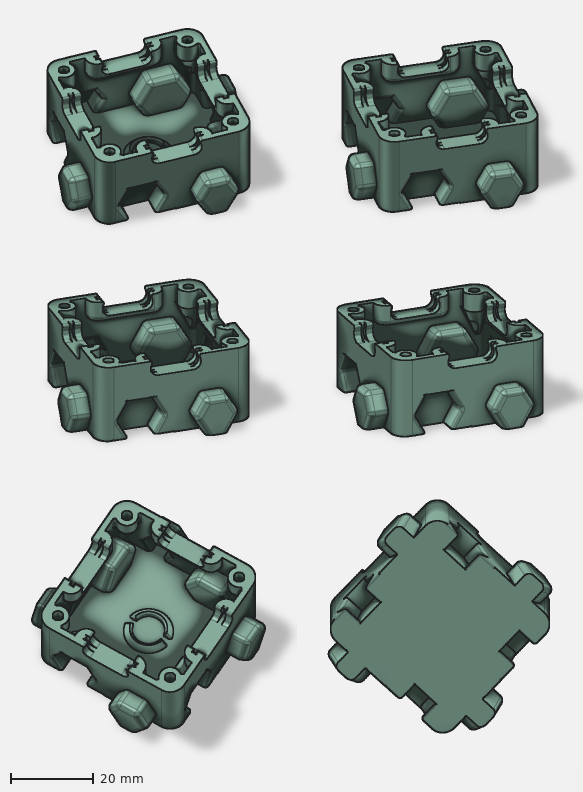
import cadquery as cq
import math

BOX = 40.0
HEIGHT = 20.0
OUTER_RADIUS = 4.0
WALL = 1.65
FLOOR = 1.2
HALF = BOX / 2
INNER_HALF = HALF - WALL
INNER_RADIUS = OUTER_RADIUS - WALL

CONNECTOR_OFFSET = 9.0
HEX_APOTHEM = 5.0
HEX_CENTRE_Z = HEX_APOTHEM
PLUG_LENGTH = 5.0
PLUG_ROUNDING = 1.5
PLUG_CAVITY_APOTHEM = HEX_APOTHEM - WALL
PLUG_CAVITY_LIP = 1.2
SOCKET_CLEARANCE = 0.3
SOCKET_APOTHEM = HEX_APOTHEM + SOCKET_CLEARANCE
SOCKET_DEPTH = PLUG_LENGTH + SOCKET_CLEARANCE
SOCKET_CORNER_RADIUS = 1.0
SOCKET_LIP = 0.8
SOCKET_BASE_LIP = 0.3
HOUSING_APOTHEM = 6.5
HOUSING_DEPTH = SOCKET_DEPTH + WALL
HOUSING_ROUNDING = 1.5

NOTCH_DEPTH = 4.0
NOTCH_TOP_HALF = 6.0
NOTCH_LEAN = 15.0
NOTCH_TOP_ROUNDING = 0.5
NOTCH_BOTTOM_RADIUS = 2.0
GROOVE_WIDTH = 1.2
GROOVE_OFFSET = 1.0
GROOVE_TOP_ROUNDING = 0.35
GROOVE_BOTTOM_RADIUS = 1.2
PAD_HALF = 9.75
PAD_THICKNESS = 5.0
PAD_HEIGHT = 5.5
PAD_CORNER_RADIUS = 3.0
PAD_BOTTOM_ROUNDING = 1.4

POST_CENTRE = 16.0
POST_RADIUS = 2.75
POST_WALL_FILLET = 0.5
POST_BOTTOM_Z = 15.4
POST_TIP_Z = 8.0
POST_ROOT = 0.25
POST_TIP_SCALE = 0.2
SCREW_TOP_DIAMETER = 2.6
SCREW_BOTTOM_DIAMETER = 1.8

RING_BASE_RADIUS = 6.05
RING_TOP_RADIUS = 4.6
RING_BORE_RADIUS = 4.0
RING_HEIGHT = 1.5
RING_GAP = 1.5
RING_ROUNDING = 0.5
RING_SINK = 1.0

OVERLAP = 1.0
MARGIN = 0.01
SOCKET_SLAB_HALF = 8.5
PLUG_CAVITY_SLAB = 0.4


def on_all_sides(shape):
    """Copies of a -Y side feature turned onto the four sides."""
    return [shape.rotate((0, 0, 0), (0, 0, 1), 90 * turn) for turn in range(4)]


def fuse_all(body, shapes):
    for shape in shapes:
        body = body.union(shape)
    return body


def cut_all(body, shapes):
    for shape in shapes:
        body = body.cut(shape)
    return body


def block(x, half_width, y_start, y_end, z_bottom, z_top):
    """Block centred on x, between the given Y and Z limits."""
    size = (2 * half_width, y_end - y_start, z_top - z_bottom)
    return cq.Workplane("XY").box(*size, centered=(True, False, False)).translate((x, y_start, z_bottom))


def rounded_block(half, radius, bottom, top):
    return block(0, half, -half, half, bottom, top).edges("|Z").fillet(radius)


def hex_prism(x, apothem, y_start, y_end):
    """Hexagonal prism along Y, its lower flanks carried on below the base of the box."""
    radius = 2 * apothem / math.sqrt(3)
    drop = HEX_CENTRE_Z + OVERLAP
    low = radius - drop / math.sqrt(3)
    outline = [
        (x - radius / 2, HEX_CENTRE_Z + apothem),
        (x + radius / 2, HEX_CENTRE_Z + apothem),
        (x + radius, HEX_CENTRE_Z),
        (x + low, HEX_CENTRE_Z - drop),
        (x - low, HEX_CENTRE_Z - drop),
        (x - radius, HEX_CENTRE_Z),
    ]
    plane = cq.Workplane("XZ", origin=(0, y_start, 0))
    return plane.polyline(outline).close().extrude(y_start - y_end)


def above(shape, z):
    return shape.intersect(block(0, BOX, -BOX, BOX, z, HEIGHT))


def round_prism(prism, end, radius):
    """Round the long corners and one end of a hexagonal prism, but not its bottom."""
    return prism.edges("|Y or " + end).edges("not(<Z)").fillet(radius)


def plug():
    prism = hex_prism(CONNECTOR_OFFSET, HEX_APOTHEM, -HALF + WALL / 2, -HALF - PLUG_LENGTH)
    return above(round_prism(prism, "<Y", PLUG_ROUNDING), 0)


def housing():
    """Solid around a socket, standing on the floor inside the wall."""
    prism = hex_prism(-CONNECTOR_OFFSET, HOUSING_APOTHEM, -HALF + HOUSING_DEPTH, -HALF + WALL / 2)
    return above(round_prism(prism, ">Y", HOUSING_ROUNDING), 0)


def round_edges_in_box(shape, radius, low, high):
    """Fillet the edges whose centre lies in a box."""
    return shape.edges(cq.selectors.BoxSelector(low, high)).fillet(radius)


def socket():
    """Void of a socket: open at the base, its flanks rounded over at the wall and at the base.

    Slabs of void in front of the wall and below the base give the edges that are rounded.
    """
    x = -CONNECTOR_OFFSET
    roof = HEX_CENTRE_Z + SOCKET_APOTHEM
    end = -HALF + SOCKET_DEPTH
    prism = hex_prism(x, SOCKET_APOTHEM, end, -HALF - OVERLAP)
    prism = prism.edges("|Y").edges("not(<Z)").edges("not(>Z)").fillet(SOCKET_CORNER_RADIUS)
    in_front = block(x, SOCKET_SLAB_HALF, -HALF - OVERLAP, -HALF, -OVERLAP, roof)
    below = block(x, SOCKET_SLAB_HALF, -HALF - OVERLAP, end, -OVERLAP, 0)
    void = prism.union(in_front).union(below)
    low_x = x - SOCKET_SLAB_HALF + MARGIN
    high_x = x + SOCKET_SLAB_HALF - MARGIN
    void = round_edges_in_box(void, SOCKET_LIP,
                              (low_x, -HALF - MARGIN, MARGIN), (high_x, -HALF + MARGIN, roof - MARGIN))
    return round_edges_in_box(void, SOCKET_BASE_LIP,
                              (low_x, -HALF + SOCKET_LIP, -MARGIN), (high_x, end - MARGIN, MARGIN))


def plug_cavity():
    """Void inside a plug: open to the box at floor level, its mouth rounded over."""
    x = CONNECTOR_OFFSET
    mouth = -INNER_HALF
    slab_half = PLUG_CAVITY_APOTHEM + 2 * PLUG_CAVITY_LIP
    slab_top = HEX_CENTRE_Z + slab_half
    slab_end = mouth + PLUG_CAVITY_SLAB
    prism = above(hex_prism(x, PLUG_CAVITY_APOTHEM, slab_end, -HALF - PLUG_LENGTH + WALL), FLOOR)
    void = prism.union(block(x, slab_half, mouth, slab_end, FLOOR, slab_top))
    return round_edges_in_box(void, PLUG_CAVITY_LIP,
                              (x - slab_half + MARGIN, mouth - MARGIN, FLOOR + MARGIN),
                              (x + slab_half - MARGIN, mouth + MARGIN, slab_top - MARGIN))


def point_on_circle(centre, radius, angle):
    return (centre[0] + radius * math.cos(angle), centre[1] + radius * math.sin(angle))


def notch(top_half, top_rounding, bottom_radius, y_start, y_end):
    """Void of a dovetail notch along Y, with rounded rims and rounded bottom corners."""
    lean = math.radians(NOTCH_LEAN)
    bottom_half = top_half + NOTCH_DEPTH * math.tan(lean)
    bottom_z = HEIGHT - NOTCH_DEPTH
    length = y_start - y_end
    profile = [
        (-top_half, HEIGHT),
        (-bottom_half, bottom_z),
        (bottom_half, bottom_z),
        (top_half, HEIGHT),
    ]
    plane = cq.Workplane("XZ", origin=(0, y_start, 0))
    void = plane.polyline(profile).close().extrude(length)
    void = void.edges("|Y").edges("<Z").fillet(bottom_radius)
    setback = top_rounding / math.tan((math.pi / 2 - lean) / 2)
    centre = (top_half + setback, HEIGHT - top_rounding)
    on_flank = point_on_circle(centre, top_rounding, math.pi + lean)
    middle = point_on_circle(centre, top_rounding, 0.75 * math.pi + lean / 2)
    rim = (
        plane.moveTo(centre[0], HEIGHT)
        .threePointArc(middle, on_flank)
        .lineTo(top_half, HEIGHT)
        .close()
        .extrude(length)
    )
    return void.union(rim).union(rim.mirror("YZ"))


def cable_notch():
    """Void of a cable notch, with a wider groove halfway through its thickness."""
    opening = notch(NOTCH_TOP_HALF, NOTCH_TOP_ROUNDING, NOTCH_BOTTOM_RADIUS,
                    -HALF + PAD_THICKNESS + OVERLAP, -HALF - OVERLAP)
    groove_y = -HALF + PAD_THICKNESS / 2
    groove = notch(NOTCH_TOP_HALF + GROOVE_OFFSET, GROOVE_TOP_ROUNDING, GROOVE_BOTTOM_RADIUS,
                   groove_y + GROOVE_WIDTH / 2, groove_y - GROOVE_WIDTH / 2)
    return opening.union(groove)


def pad():
    """Thickening of the wall around a cable notch, its foot rounded under."""
    body = block(0, PAD_HALF, -HALF + WALL / 2, -HALF + PAD_THICKNESS, HEIGHT - PAD_HEIGHT, HEIGHT)
    body = body.edges("|Z and >Y").fillet(PAD_CORNER_RADIUS)
    return body.faces("<Z").edges("not(<Y)").fillet(PAD_BOTTOM_ROUNDING)


def post_footprint():
    """Outline of a post in the (-X, -Y) corner, blended into both walls; mirrored about its diagonal."""
    centre = (-POST_CENTRE, -POST_CENTRE)
    wall = -INNER_HALF
    blend_y = wall + POST_WALL_FILLET
    rise = blend_y + POST_CENTRE
    blend_x = -POST_CENTRE + math.sqrt((POST_RADIUS + POST_WALL_FILLET) ** 2 - rise ** 2)
    angle = math.atan2(rise, blend_x + POST_CENTRE)
    touch = point_on_circle(centre, POST_RADIUS, angle)
    blend_middle_angle = (angle + math.pi + 1.5 * math.pi) / 2
    blend_middle = point_on_circle((blend_x, blend_y), POST_WALL_FILLET, blend_middle_angle)
    front = point_on_circle(centre, POST_RADIUS, math.pi / 4)
    back = wall - POST_ROOT
    return (
        cq.Workplane("XY")
        .moveTo(back, back)
        .lineTo(blend_x, back)
        .lineTo(blend_x, wall)
        .threePointArc(blend_middle, touch)
        .threePointArc(front, touch[::-1])
        .threePointArc(blend_middle[::-1], (wall, blend_x))
        .lineTo(back, blend_x)
        .close()
        .val()
    )


def post():
    """Post whose underside tapers back into the corner of the box."""
    footprint = post_footprint()
    top_outline = footprint.translate(cq.Vector(0, 0, POST_BOTTOM_Z))
    column = cq.Workplane("XY").add(top_outline).toPending().extrude(HEIGHT - POST_BOTTOM_Z)
    corner = -INNER_HALF + INNER_RADIUS * (1 - math.sqrt(0.5))
    shift = cq.Vector(corner, corner, 0)
    tip = footprint.translate(-shift).scale(POST_TIP_SCALE).translate(shift + cq.Vector(0, 0, POST_TIP_Z))
    taper = cq.Solid.makeLoft([tip, top_outline], True)
    return column.union(cq.Workplane(taper))


def screw_hole():
    """Tapered pilot hole through a post."""
    depth = HEIGHT - POST_TIP_Z
    return (cq.Workplane("XY", origin=(-POST_CENTRE, -POST_CENTRE, POST_TIP_Z))
            .circle(SCREW_BOTTOM_DIAMETER / 2)
            .workplane(offset=depth).circle(SCREW_TOP_DIAMETER / 2).loft())


def split_ring():
    """Ring with a conical outside, cut in two by a gap along Y, its rim and ends rounded."""
    top = FLOOR + RING_HEIGHT
    profile = [
        (RING_BORE_RADIUS, FLOOR - RING_SINK),
        (RING_BASE_RADIUS, FLOOR - RING_SINK),
        (RING_BASE_RADIUS, FLOOR),
        (RING_TOP_RADIUS, top),
        (RING_BORE_RADIUS, top),
    ]
    ring = cq.Workplane("XZ").polyline(profile).close().revolve(360, (0, 0, 0), (0, 1, 0))
    ring = ring.cut(block(0, RING_GAP / 2, -HALF, HALF, 0, HEIGHT))
    for near, far in ((-RING_BASE_RADIUS, -RING_TOP_RADIUS), (RING_TOP_RADIUS, RING_BASE_RADIUS)):
        ring = round_edges_in_box(ring, RING_ROUNDING,
                                  (-RING_GAP, near, FLOOR + MARGIN), (RING_GAP, far, top - MARGIN))
    bore_rim = cq.selectors.RadiusNthSelector(0)
    return ring.faces(">Z").edges(bore_rim).fillet(RING_ROUNDING)


def build():
    body = rounded_block(HALF, OUTER_RADIUS, 0, HEIGHT)
    body = body.cut(rounded_block(INNER_HALF, INNER_RADIUS, FLOOR, HEIGHT))
    body = fuse_all(body, on_all_sides(plug()))
    body = fuse_all(body, on_all_sides(housing()))
    body = fuse_all(body, on_all_sides(pad()))
    body = fuse_all(body, on_all_sides(post()))
    body = cut_all(body, on_all_sides(socket()))
    body = cut_all(body, on_all_sides(plug_cavity()))
    body = cut_all(body, on_all_sides(cable_notch()))
    body = cut_all(body, on_all_sides(screw_hole()))
    return body.union(split_ring())


result = build()